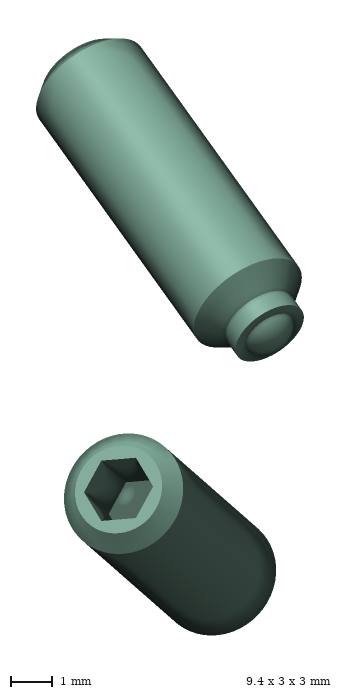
import cadquery as cq
import math

total_length = 9.4
body_diameter = 3.0
socket_end_chamfer = 0.4
cone_start = 7.94
collar_diameter = 1.9
collar_end = 8.99
ball_diameter = 1.48
hex_across_flats = 1.5
hex_depth = 2.0

body_radius = body_diameter / 2
collar_radius = collar_diameter / 2
ball_radius = ball_diameter / 2
ball_center = total_length - ball_radius
cone_end = cone_start + body_radius - collar_radius


ball_exit_radius = math.sqrt(ball_radius**2 - (collar_end - ball_center) ** 2)
half_exposed_angle = math.atan2(ball_exit_radius, collar_end - ball_center) / 2
ball_arc_middle = (
    ball_center + ball_radius * math.cos(half_exposed_angle),
    ball_radius * math.sin(half_exposed_angle),
)


def make_body():
    """Revolve the chamfered body, nose cone, collar and exposed ball about X."""
    return (
        cq.Workplane("XY")
        .polyline([
            (0, 0),
            (0, body_radius - socket_end_chamfer),
            (socket_end_chamfer, body_radius),
            (cone_start, body_radius),
            (cone_end, collar_radius),
            (collar_end, collar_radius),
            (collar_end, ball_exit_radius),
        ])
        .threePointArc(ball_arc_middle, (total_length, 0))
        .close()
        .revolve(360, (0, 0, 0), (1, 0, 0))
    )


def make_hex_socket():
    """Blind hexagonal socket with two corners on the Y axis."""
    across_corners = hex_across_flats / math.cos(math.radians(30))
    return cq.Workplane("YZ").polygon(6, across_corners).extrude(hex_depth)


result = make_body().cut(make_hex_socket())